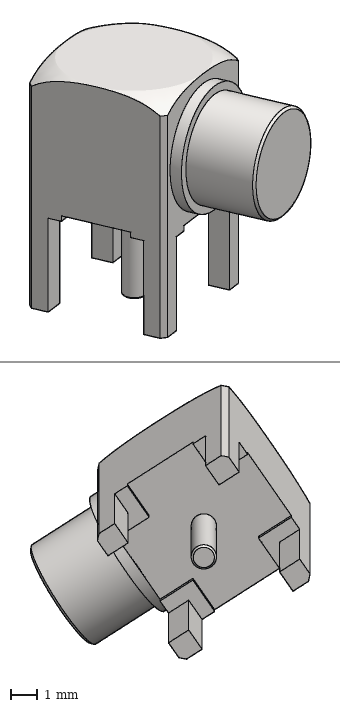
import cadquery as cq
import math

height = 9.94
body_width = 6.0
half_width = body_width / 2
corner_chamfer = 0.21
crown_radius = 2.45
crown_start_angle = math.radians(14)
crown_end_angle = math.radians(60)

leg_width = 0.92
leg_length = 3.95
relief_width = 3.0
relief_depth = 0.23

pin_diameter = 0.96
pin_chamfer = 0.08

connector_z = height - half_width
flange_diameter = 5.2
flange_thickness = 0.5
barrel_diameter = 4.5
barrel_length = 3.0
barrel_chamfer = 0.1


def crown_point(slope):
    """Radius and height of the crown profile where it has the given downward slope."""
    radius = half_width + crown_radius * (math.sin(slope) - math.sin(crown_start_angle))
    z = height + crown_radius * (math.cos(slope) - math.cos(crown_start_angle))
    return radius, z


def make_body():
    """Square column with chamfered vertical edges and a rounded crown."""
    column = cq.Workplane("XY").rect(body_width, body_width).extrude(height)
    column = column.edges("|Z").chamfer(corner_chamfer)

    crown_mid = crown_point((crown_start_angle + crown_end_angle) / 2)
    crown_end = crown_point(crown_end_angle)
    crown_envelope = (
        cq.Workplane("XZ")
        .lineTo(0, height)
        .lineTo(half_width, height)
        .threePointArc(crown_mid, crown_end)
        .lineTo(crown_end[0], 0)
        .close()
        .revolve(360, (0, 0), (0, 1))
    )
    return column.intersect(crown_envelope)


def cut_cross(body, channel_width, channel_height):
    """Cut channels of equal section through the underside along X and Y."""
    for x_size, y_size in ((body_width, channel_width), (channel_width, body_width)):
        channel = cq.Workplane("XY").rect(x_size, y_size).extrude(channel_height)
        body = body.cut(channel)
    return body


def make_pin():
    pin_top = leg_length + 2 * relief_depth
    pin = cq.Workplane("XY").circle(pin_diameter / 2).extrude(pin_top)
    return pin.faces("<Z").chamfer(pin_chamfer)


def make_connector():
    """Flange and chamfered barrel on the +X face."""
    side_face = cq.Workplane("YZ", origin=(half_width, 0, connector_z))
    flange = side_face.circle(flange_diameter / 2).extrude(flange_thickness)
    barrel = side_face.circle(barrel_diameter / 2).extrude(flange_thickness + barrel_length)
    barrel = barrel.faces(">X").chamfer(barrel_chamfer)
    return flange.union(barrel)


body = make_body()
body = cut_cross(body, body_width - 2 * leg_width, leg_length)
body = cut_cross(body, relief_width, leg_length + relief_depth)
result = body.union(make_pin()).union(make_connector())